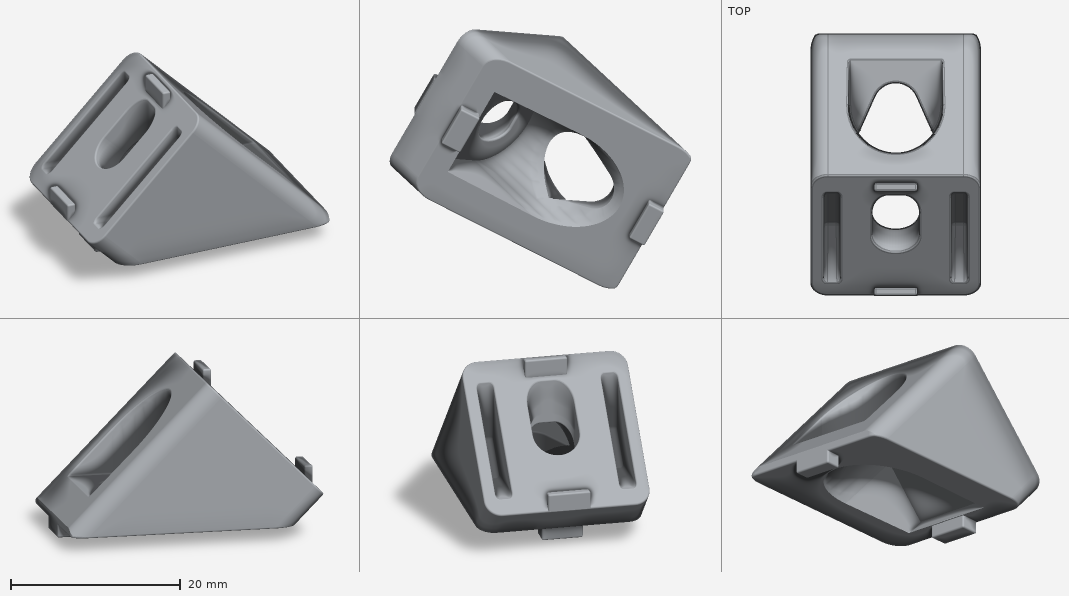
import cadquery as cq
import math

BODY_SIZE = 20.0
BODY_CORNER_RADIUS = 2.0
BACK_CORNER_RADIUS = 1.2
FRONT_WALL = 5.0
BACK_Y = 27.32
RIM_ROUND = 0.2

ROOT_HALF = math.sqrt(0.5)
FRONT_Y = -FRONT_WALL * ROOT_HALF
TIP_Z = FRONT_WALL * ROOT_HALF
FACE_RISE = BODY_SIZE * ROOT_HALF
FACE_OFFSET = TIP_Z - FRONT_Y
BAR_LENGTH = 2 * BODY_SIZE

PLATE_THICKNESS = 4.0
FACE_HOLE_RADIUS = 2.8
FACE_HOLE_CORNER_RADIUS = 2.0
HEAD_RADIUS = 5.5
FACE_HEAD_RADIUS = 5.72
BASE_SCREW_Y = 18.85
BASE_HOLE_RADIUS = 2.7
FRONT_POCKET_WALL = 2.0
FLARE_HALF_ANGLE = math.radians(24)
FLARE_FRONT_Y = 16.0
POCKET_DRAFT = 1.0

SIDE_POCKET_X = 7.5
SIDE_POCKET_WIDTH = 2.0
SIDE_POCKET_DEPTH = 5.0
SIDE_POCKET_FLOOR_Z = 5.0
SIDE_POCKET_BACK_Y = 8.62
SIDE_POCKET_ROUND = 0.45

TAB_WIDTH = 5.1
TAB_THICKNESS = 1.0
TAB_HEIGHT = 2.13
TAB_FRONT_YS = (FRONT_Y - 0.01, 8.75)
FOOT_WIDTH = 4.95
FOOT_HEIGHT = 1.5
FOOT_SPANS = ((0.1, 2.6), (BACK_Y - 2.05, BACK_Y))

face_plane = cq.Plane(
    origin=(0, FRONT_Y + FACE_RISE / 2, TIP_Z + FACE_RISE / 2),
    xDir=(1, 0, 0),
    normal=(0, -1, 1),
)


def block(width, y_range, z_range):
    """Box centred on X = 0."""
    (y0, y1), (z0, z1) = y_range, z_range
    box = cq.Workplane("XY").box(width, y1 - y0, z1 - z0, centered=(True, False, False))
    return box.translate((0, y0, z0))


def inside_box(low, high):
    """Selector for faces or edges that lie wholly inside a box."""
    return cq.selectors.BoxSelector(low, high, boundingbox=True)


def make_body():
    bar = (
        cq.Workplane(face_plane)
        .rect(BODY_SIZE, BODY_SIZE)
        .extrude(-BAR_LENGTH)
        .edges("|(0,1,-1)")
        .fillet(BODY_CORNER_RADIUS)
    )
    keep = block(BODY_SIZE, (FRONT_Y - 1, BACK_Y), (0, BODY_SIZE))
    keep = keep.edges("|Z and >Y").fillet(BACK_CORNER_RADIUS)
    return bar.intersect(keep).faces("<Z").edges().fillet(RIM_ROUND)


def head_pocket(seat, radius, straight_length, depth):
    """D-shaped pocket rising from a seat plane, its straight side along the plane's local -Y."""
    return (
        seat.moveTo(-radius, -straight_length)
        .lineTo(-radius, 0)
        .threePointArc((0, radius), (radius, 0))
        .lineTo(radius, -straight_length)
        .close()
        .extrude(depth, taper=-POCKET_DRAFT)
    )


def base_head_pocket():
    """Vertical pocket, half round in front, that runs out through the sloping back."""
    seat_centre = (0, BASE_SCREW_Y, PLATE_THICKNESS)
    seat = cq.Workplane("XY").transformed(rotate=(0, 0, 180), offset=seat_centre)
    pocket = head_pocket(seat, HEAD_RADIUS, BODY_SIZE, BODY_SIZE)
    return pocket.faces("<Z").edges().fillet(RIM_ROUND)


def base_hole():
    """Round screw hole that flares towards the front to meet the face screw's pocket."""
    tangent_x = BASE_HOLE_RADIUS * math.cos(FLARE_HALF_ANGLE)
    tangent_y = BASE_SCREW_Y + BASE_HOLE_RADIUS * math.sin(FLARE_HALF_ANGLE)
    front_x = tangent_x + (tangent_y - FLARE_FRONT_Y) * math.tan(FLARE_HALF_ANGLE)
    return (
        cq.Workplane("XY")
        .moveTo(-front_x, FLARE_FRONT_Y)
        .lineTo(-tangent_x, tangent_y)
        .threePointArc((0, BASE_SCREW_Y + BASE_HOLE_RADIUS), (tangent_x, tangent_y))
        .lineTo(front_x, FLARE_FRONT_Y)
        .close()
        .extrude(PLATE_THICKNESS)
    )


def face_head_pocket():
    """Pocket, half round at its upper end, square to the tilted face and open through the base."""
    seat_centre = face_plane.toWorldCoords((0, 0, -PLATE_THICKNESS))
    seat = cq.Workplane(cq.Plane(seat_centre, xDir=(-1, 0, 0), normal=(0, 1, -1)))
    return head_pocket(seat, FACE_HEAD_RADIUS, BODY_SIZE / 2 - FRONT_POCKET_WALL, BAR_LENGTH)


def face_hole():
    """Round screw hole square to the tilted face, with its upper half opened vertically."""
    bore = cq.Workplane(face_plane).circle(FACE_HOLE_RADIUS).extrude(-PLATE_THICKNESS)
    seat_centre = face_plane.toWorldCoords((0, 0, -PLATE_THICKNESS))
    back_y = seat_centre.y + FACE_HOLE_RADIUS * ROOT_HALF
    relief = block(2 * FACE_HOLE_RADIUS, (FRONT_Y, back_y), (0, BODY_SIZE))
    relief = relief.edges("|Z and >Y").fillet(FACE_HOLE_CORNER_RADIUS)
    upper_half = (
        cq.Workplane(face_plane)
        .center(0, BODY_SIZE / 2)
        .rect(2 * FACE_HOLE_RADIUS, BODY_SIZE)
        .extrude(-PLATE_THICKNESS)
    )
    return bore.union(relief.intersect(upper_half))


def side_pocket(x):
    """Pocket with a level lower end, a vertical upper end and a floor parallel to the face."""
    floor_offset = FACE_OFFSET - SIDE_POCKET_DEPTH / ROOT_HALF
    outline = [
        (SIDE_POCKET_FLOOR_Z - FACE_OFFSET - 1, SIDE_POCKET_FLOOR_Z),
        (SIDE_POCKET_FLOOR_Z - floor_offset, SIDE_POCKET_FLOOR_Z),
        (SIDE_POCKET_BACK_Y, SIDE_POCKET_BACK_Y + floor_offset),
        (SIDE_POCKET_BACK_Y, SIDE_POCKET_BACK_Y + FACE_OFFSET + 1),
    ]
    pocket = cq.Workplane("YZ").polyline(outline).close().extrude(SIDE_POCKET_WIDTH / 2, both=True)
    tapered_sides = (
        cq.Workplane(face_plane)
        .rect(SIDE_POCKET_WIDTH, 2 * BODY_SIZE)
        .extrude(-BODY_SIZE / 2, taper=POCKET_DRAFT)
    )
    pocket = pocket.intersect(tapered_sides)
    floor_edges = pocket.edges("not(>(0,-1,1))")
    return floor_edges.fillet(SIDE_POCKET_ROUND).translate((x, 0, 0))


def with_base_screw(body):
    """The body cut for the base screw only, with the hole's lip and the pocket's mouth rounded."""
    part = body.cut(base_head_pocket()).cut(base_hole())
    arc_middle = (0, BASE_SCREW_Y + BASE_HOLE_RADIUS, PLATE_THICKNESS)
    part = part.edges(cq.selectors.NearestToPointSelector(arc_middle)).fillet(RIM_ROUND)
    mouth_half_width = HEAD_RADIUS + 1
    mouth = inside_box((-mouth_half_width, FRONT_Y, RIM_ROUND), (mouth_half_width, BACK_Y, BODY_SIZE))
    return part.faces(">(0,1,1)").edges(mouth).fillet(RIM_ROUND)


def with_face_screw(body):
    """The body cut for the tilted face's screw and side pockets, with the face's rims rounded."""
    part = body.cut(face_head_pocket()).cut(face_hole())
    centre = face_plane.toWorldCoords((0, 0, -PLATE_THICKNESS))
    reach = FACE_HOLE_RADIUS + RIM_ROUND
    hole_lip = inside_box(
        (-reach, centre.y - reach, centre.z - reach),
        (reach, centre.y + reach, centre.z + reach),
    )
    part = part.faces("|(0,1,-1)").edges(hole_lip).fillet(RIM_ROUND)
    for side in (-1, 1):
        part = part.cut(side_pocket(side * SIDE_POCKET_X))
    return part.faces("<(0,1,-1)").edges().fillet(RIM_ROUND)


def tab(front_y):
    """Upright tab rooted in the tilted face."""
    face_z = front_y + FACE_OFFSET
    upright = block(TAB_WIDTH, (front_y, front_y + TAB_THICKNESS), (face_z, face_z + TAB_HEIGHT))
    return upright.edges("|Z or >Z").fillet(RIM_ROUND)


def foot(y_range):
    """Foot below the base, rooted a little way into it."""
    return block(FOOT_WIDTH, y_range, (-FOOT_HEIGHT, RIM_ROUND)).edges("|Z or <Z").fillet(RIM_ROUND)


body = make_body()
result = with_base_screw(body).intersect(with_face_screw(body))
for front_y in TAB_FRONT_YS:
    result = result.union(tab(front_y))
for span in FOOT_SPANS:
    result = result.union(foot(span))